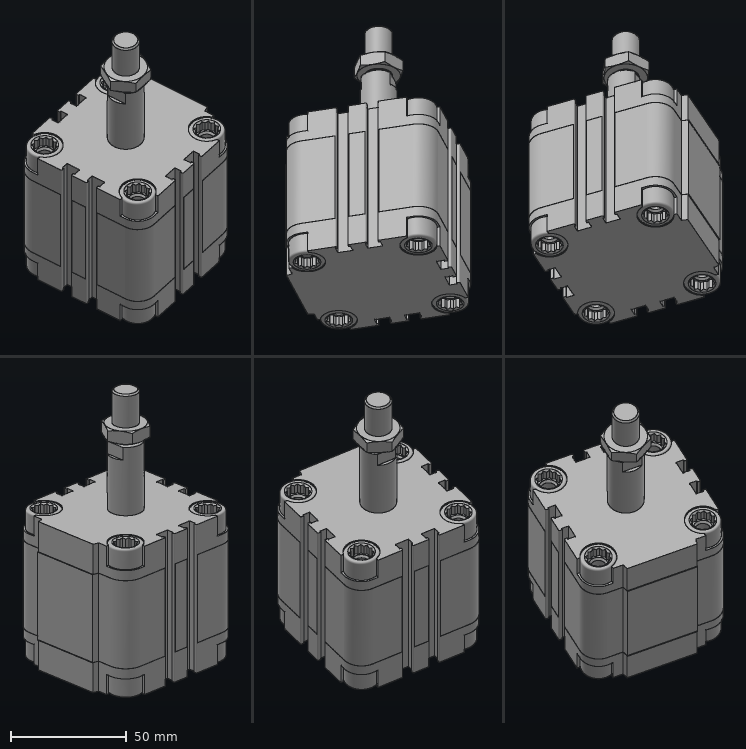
import cadquery as cq
import math


TOTAL_HEIGHT = 127.0
HOUSING_HEIGHT = 70.5
HOUSING_WIDTH = 68.0
HOUSING_DEPTH_WITH_RAIL = 71.0

CAP_HEIGHT = 14.4
CAP_INSET = 0.06
BOLT_SPACING = 50.0
RAIL_BASE_HALF_WIDTH = 17.4
RAIL_TOP_HALF_WIDTH = 16.8
RAIL_CAP_INSET = 0.4

SLOT_OFFSET = 6.7
SLOT_MOUTH_WIDTH = 5.2
SLOT_INNER_WIDTH = 6.7
SLOT_DEPTH = 5.1
SLOT_LIP = 1.7
SLOT_MOUTH_RADIUS = 0.5

BOSS_DIAMETER = 16.0
BOSS_HEIGHT = 9.5
BOSS_EDGE_RADIUS = 1.0
NOTCH_INNER_REACH = 2.8
SOCKET_TEETH = 12
SOCKET_TIP_DIAMETER = 10.9
SOCKET_ROOT_DIAMETER = 9.5
SOCKET_DEPTH = 5.1
SOCKET_CHAMFER_DIAMETER = 12.0
SOCKET_CHAMFER_DEPTH = 0.8
BOLT_HOLE_DIAMETER = 6.6
BOLT_HOLE_MOUTH_DIAMETER = 8.5

ROD_DIAMETER = 16.0
ROD_SHOULDER_Z = 102.9
ROD_FLAT_HEIGHT = 6.0
ROD_ACROSS_FLATS = 13.0
NECK_DIAMETER = 10.4
NECK_HEIGHT = 2.0
THREAD_DIAMETER = 12.0
THREAD_CHAMFER = 0.8

NUT_BOTTOM_Z = 105.0
NUT_HEIGHT = 6.2
NUT_ACROSS_FLATS = 19.0
NUT_CHAMFER_ANGLE = 20.0
NUT_FACE_DIAMETER = 18.8

HALF_WIDTH = HOUSING_WIDTH / 2
RAIL_TOP_Y = HOUSING_DEPTH_WITH_RAIL - HALF_WIDTH
BOLT_OFFSET = BOLT_SPACING / 2
BOLT_CENTRES = [(sx * BOLT_OFFSET, sy * BOLT_OFFSET) for sx in (-1, 1) for sy in (-1, 1)]


def housing_block(inset, rail_inset, bottom, height):
    """Rounded square prism with the tapered rail along its +Y side."""
    half = HALF_WIDTH - inset
    corner_radius = half - BOLT_OFFSET
    block = (
        cq.Workplane("XY", origin=(0, 0, bottom))
        .rect(2 * half, 2 * half)
        .extrude(height)
        .edges("|Z")
        .fillet(corner_radius)
    )
    rail = (
        cq.Workplane("XY", origin=(0, 0, bottom))
        .polyline([
            (-RAIL_BASE_HALF_WIDTH, 0),
            (-RAIL_BASE_HALF_WIDTH, half),
            (-RAIL_TOP_HALF_WIDTH, RAIL_TOP_Y - rail_inset),
            (RAIL_TOP_HALF_WIDTH, RAIL_TOP_Y - rail_inset),
            (RAIL_BASE_HALF_WIDTH, half),
            (RAIL_BASE_HALF_WIDTH, 0),
        ])
        .close()
        .extrude(height)
    )
    return block.union(rail)


def slot_pair():
    """Two T-slots through the full height, opening on the -Y side with rounded mouth edges."""
    mouth = SLOT_MOUTH_WIDTH / 2
    inner = SLOT_INNER_WIDTH / 2
    radius = SLOT_MOUTH_RADIUS
    arc_drop = radius * math.sqrt(0.5)
    face_y = CAP_INSET - HALF_WIDTH
    outside_y = -HALF_WIDTH
    lip_y = outside_y + SLOT_LIP
    floor_y = outside_y + SLOT_DEPTH
    flare = mouth + radius
    arc_middle = (flare - arc_drop, face_y + radius - arc_drop)
    slot = (
        cq.Workplane("XY")
        .moveTo(-flare, outside_y)
        .lineTo(flare, outside_y)
        .lineTo(flare, face_y)
        .threePointArc(arc_middle, (mouth, face_y + radius))
        .lineTo(mouth, lip_y)
        .lineTo(inner, lip_y)
        .lineTo(inner, floor_y)
        .lineTo(-inner, floor_y)
        .lineTo(-inner, lip_y)
        .lineTo(-mouth, lip_y)
        .lineTo(-mouth, face_y + radius)
        .threePointArc((-arc_middle[0], arc_middle[1]), (-flare, face_y))
        .close()
        .extrude(HOUSING_HEIGHT)
    )
    left_slot = slot.translate((-SLOT_OFFSET, 0, 0))
    right_slot = slot.translate((SLOT_OFFSET, 0, 0))
    return left_slot.union(right_slot)


def boss_relief():
    """Material removed around one upper corner boss, centred on the boss axis in the +X +Y corner."""
    radius = BOSS_DIAMETER / 2
    bottom = HOUSING_HEIGHT - BOSS_HEIGHT
    notch_size = NOTCH_INNER_REACH + HALF_WIDTH - BOLT_OFFSET
    notch = (
        cq.Workplane("XY", origin=(-NOTCH_INNER_REACH, -NOTCH_INNER_REACH, bottom))
        .rect(notch_size, notch_size, centered=False)
        .extrude(BOSS_HEIGHT)
    )
    boss = cq.Workplane("XY", origin=(0, 0, bottom)).circle(radius).extrude(BOSS_HEIGHT)
    edge_radius = BOSS_EDGE_RADIUS
    arc_drop = edge_radius * (1 - math.sqrt(0.5))
    groove = (
        cq.Workplane("XZ")
        .moveTo(radius, HOUSING_HEIGHT)
        .lineTo(radius, HOUSING_HEIGHT - edge_radius)
        .threePointArc((radius - arc_drop, HOUSING_HEIGHT - arc_drop), (radius - edge_radius, HOUSING_HEIGHT))
        .close()
        .revolve(360, (0, 0), (0, 1))
    )
    return notch.cut(boss).union(groove)


def socket():
    """Twelve-point wrench socket with a tapered entry, leading into the flared bolt hole."""
    points = []
    for i in range(2 * SOCKET_TEETH):
        radius = (SOCKET_TIP_DIAMETER if i % 2 == 0 else SOCKET_ROOT_DIAMETER) / 2
        angle = math.pi * i / SOCKET_TEETH
        points.append((radius * math.cos(angle), radius * math.sin(angle)))
    floor_z = HOUSING_HEIGHT - SOCKET_DEPTH
    star = cq.Workplane("XY", origin=(0, 0, floor_z)).polyline(points).close().extrude(SOCKET_DEPTH)
    entry = cone(SOCKET_CHAMFER_DIAMETER, SOCKET_ROOT_DIAMETER, SOCKET_CHAMFER_DEPTH, HOUSING_HEIGHT)
    hole_flare_depth = (BOLT_HOLE_MOUTH_DIAMETER - BOLT_HOLE_DIAMETER) / 2
    hole_flare = cone(BOLT_HOLE_MOUTH_DIAMETER, BOLT_HOLE_DIAMETER, hole_flare_depth, floor_z)
    return star.union(entry).union(hole_flare)


def cone(top_diameter, bottom_diameter, depth, top_z):
    """Countersink that narrows downwards from top_z."""
    bottom_centre = cq.Vector(0, 0, top_z - depth)
    return cq.Workplane("XY").add(
        cq.Solid.makeCone(bottom_diameter / 2, top_diameter / 2, depth, pnt=bottom_centre)
    )


def make_housing():
    ends = housing_block(CAP_INSET, RAIL_CAP_INSET, 0, HOUSING_HEIGHT)
    band = housing_block(0, 0, CAP_HEIGHT, HOUSING_HEIGHT - 2 * CAP_HEIGHT)
    housing = ends.union(band)
    for angle in (0, 90, -90):
        housing = housing.cut(slot_pair().rotate((0, 0, 0), (0, 0, 1), angle))
    corner_cut = boss_relief().union(socket()).translate((BOLT_OFFSET, BOLT_OFFSET, 0))
    lower_cut = corner_cut.mirror("XY").translate((0, 0, HOUSING_HEIGHT))
    for angle in (0, 90, 180, 270):
        for cut in (corner_cut, lower_cut):
            housing = housing.cut(cut.rotate((0, 0, 0), (0, 0, 1), angle))
    bolt_holes = (
        cq.Workplane("XY").pushPoints(BOLT_CENTRES).circle(BOLT_HOLE_DIAMETER / 2).extrude(HOUSING_HEIGHT)
    )
    return housing.cut(bolt_holes)


def make_rod():
    """Piston rod on the housing's top face, with wrench flats, neck and thread."""
    shank = (
        cq.Workplane("XY", origin=(0, 0, HOUSING_HEIGHT))
        .circle(ROD_DIAMETER / 2)
        .extrude(ROD_SHOULDER_Z - HOUSING_HEIGHT)
    )
    flats = (
        cq.Workplane("XY", origin=(0, 0, ROD_SHOULDER_Z - ROD_FLAT_HEIGHT))
        .rect(2 * ROD_DIAMETER, 2 * ROD_DIAMETER)
        .rect(2 * ROD_DIAMETER, ROD_ACROSS_FLATS)
        .extrude(ROD_FLAT_HEIGHT)
    )
    neck = cq.Workplane("XY", origin=(0, 0, ROD_SHOULDER_Z)).circle(NECK_DIAMETER / 2).extrude(NECK_HEIGHT)
    thread_bottom = ROD_SHOULDER_Z + NECK_HEIGHT
    thread = (
        cq.Workplane("XY", origin=(0, 0, thread_bottom))
        .circle(THREAD_DIAMETER / 2)
        .extrude(TOTAL_HEIGHT - thread_bottom)
        .faces(">Z")
        .chamfer(THREAD_CHAMFER)
    )
    return shank.cut(flats).union(neck).union(thread)


def make_nut():
    """Hexagonal nut with corners on the Y axis, chamfered on both faces."""
    corner_diameter = NUT_ACROSS_FLATS / math.cos(math.radians(30))
    corner_radius = corner_diameter / 2
    face_radius = NUT_FACE_DIAMETER / 2
    drop = (corner_radius - face_radius) * math.tan(math.radians(NUT_CHAMFER_ANGLE))
    hexagon = cq.Workplane("XY").polygon(6, corner_diameter).extrude(NUT_HEIGHT)
    envelope = (
        cq.Workplane("XZ")
        .polyline([
            (0, 0),
            (face_radius, 0),
            (corner_radius, drop),
            (corner_radius, NUT_HEIGHT - drop),
            (face_radius, NUT_HEIGHT),
            (0, NUT_HEIGHT),
        ])
        .close()
        .revolve(360, (0, 0), (0, 1))
    )
    bore = cq.Workplane("XY").circle(THREAD_DIAMETER / 2).extrude(NUT_HEIGHT)
    nut = hexagon.rotate((0, 0, 0), (0, 0, 1), 90).intersect(envelope).cut(bore)
    return nut.translate((0, 0, NUT_BOTTOM_Z))


housing = make_housing()
rod = make_rod()
nut = make_nut()
result = cq.Compound.makeCompound([housing.val(), rod.val(), nut.val()])